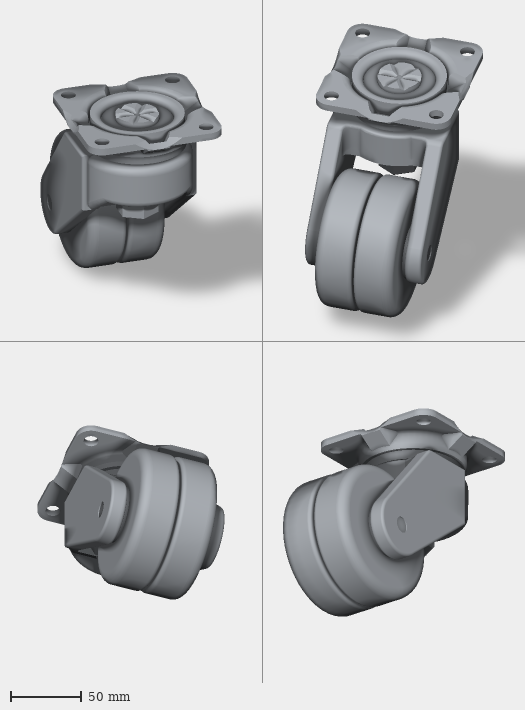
import cadquery as cq
import math

plate_side = 100.0
plate_corner_radius = 11.0
plate_thickness = 5.3
plate_hole_pitch = 77.9
plate_hole_diameter = 10.5

wheel_radius = plate_side / 2
wheel_offset = 70.0
overall_height = 150.0
axle_x = -wheel_offset
axle_z = wheel_radius - overall_height

dish_mouth_radius = 41.3
dish_wall_inner_radius = 34.8
dish_wall_outer_radius = 38.8
dish_floor_z = -11.9
dish_taper_z = -14.3
dish_bottom_z = -18.0
dish_bottom_radius = 37.9
ring_radius = 33.8
ring_lip_inner_radius = 31.0
ring_top_z = -1.4
ring_lip_round = 5.1
race_radius = 35.2
race_bottom_z = -25.0
spacer_radius = 26.2
fork_top_z = -26.9

head_radius = 15.6
head_top_z = -1.5
kingpin_radius = 10.2
washer_radius = 16.8
washer_top_z = -65.0
nut_top_z = -68.8
nut_bottom_z = -79.7
nut_corner_radius = 15.5
nut_chamfer = 1.0
star_groove_width = 6.8
star_groove_depth = 2.0
star_groove_count = 3
star_center_radius = 2.2

channel_slope = 33.6
channel_sheet = 5.0
channel_floor_half_width = 6.5
channel_flank_angle = 38.0
rib_half_width = 8.0
channel_rim_z = -6.8
rim_cut_radius = 32.3

fork_half_width = 43.0
fork_half_gap = 31.0
arm_end_radius = 23.0
arm_back_x = 5.8
arm_upper_angle = 48.8
arm_lower_angle = 37.7
arm_corner_radius = 6.0
arm_edge_fillet = 2.0
housing_radius = 39.5
housing_top_fillet = 6.1
housing_bottom_fillet = 5.0
housing_bottom_z = -58.3
web_front_x = -34.5
web_bottom_z = -52.7
web_corner_radius = 3.9
skirt_front_x = 11.0
boss_top_radius = 26.7
boss_bottom_radius = 20.5

wheel_inner_y = 0.8
wheel_outer_y = 28.9
wheel_outer_fillet = 7.0
wheel_inner_fillet = 3.0
wheel_hub_radius = 13.8
wheel_boss_radius = 20.7
axle_radius = 11.9
axle_recess_radius = 6.0
axle_recess_depth = 0.8


def disc(radius, z_from, z_to):
    """Cylinder about the swivel axis."""
    return cq.Workplane("XY").workplane(offset=z_from).circle(radius).extrude(z_to - z_from)


def make_plate():
    plate = (
        cq.Workplane("XY").rect(plate_side, plate_side).extrude(-plate_thickness)
        .edges("|Z").fillet(plate_corner_radius)
    )
    plate = plate.cut(
        cq.Workplane("XY").rect(plate_hole_pitch, plate_hole_pitch, forConstruction=True)
        .vertices().circle(plate_hole_diameter / 2).extrude(-plate_thickness)
    )
    return plate.cut(disc(dish_mouth_radius, -plate_thickness, 0))


def make_bearing():
    """Turned dish, ring and kingpin down to the nut."""
    bend = dish_mouth_radius - dish_wall_inner_radius
    outer_bend = dish_mouth_radius - dish_wall_outer_radius
    diagonal = math.sqrt(0.5)
    ring_floor_radius = ring_lip_inner_radius - ring_lip_round
    ring_floor_z = ring_top_z - ring_lip_round
    outer_bend_middle = (
        dish_mouth_radius - outer_bend * diagonal,
        -plate_thickness - outer_bend + outer_bend * diagonal,
    )
    profile = (
        cq.Workplane("XZ")
        .moveTo(0, head_top_z)
        .lineTo(head_radius, head_top_z)
        .lineTo(head_radius, ring_floor_z)
        .lineTo(ring_floor_radius, ring_floor_z)
        .threePointArc(
            (
                ring_lip_inner_radius - ring_lip_round * diagonal,
                ring_floor_z + ring_lip_round * diagonal,
            ),
            (ring_lip_inner_radius, ring_top_z),
        )
        .lineTo(ring_radius, ring_top_z)
        .lineTo(ring_radius, dish_floor_z)
        .lineTo(dish_wall_inner_radius, dish_floor_z)
        .lineTo(dish_wall_inner_radius, -bend)
        .threePointArc(
            (dish_mouth_radius - bend * diagonal, -bend + bend * diagonal), (dish_mouth_radius, 0)
        )
        .lineTo(dish_mouth_radius, -plate_thickness)
        .threePointArc(outer_bend_middle, (dish_wall_outer_radius, -plate_thickness - outer_bend))
        .lineTo(dish_wall_outer_radius, dish_taper_z)
        .lineTo(dish_bottom_radius, dish_bottom_z)
        .lineTo(race_radius, dish_bottom_z)
        .lineTo(race_radius, race_bottom_z)
        .lineTo(spacer_radius, race_bottom_z)
        .lineTo(spacer_radius, fork_top_z)
        .lineTo(kingpin_radius, fork_top_z)
        .lineTo(kingpin_radius, washer_top_z)
        .lineTo(washer_radius, washer_top_z)
        .lineTo(washer_radius, nut_top_z)
        .lineTo(0, nut_top_z)
        .close()
    )
    return profile.revolve(360, (0, 0, 0), (0, 1, 0))


def make_nut():
    return (
        cq.Workplane("XY").workplane(offset=nut_bottom_z)
        .polygon(6, 2 * nut_corner_radius).extrude(nut_top_z - nut_bottom_z)
        .faces("<Z").chamfer(nut_chamfer)
    )


def make_star_groove():
    """V groove across the kingpin head, along Y."""
    return (
        cq.Workplane("XZ", origin=(0, head_radius, head_top_z))
        .moveTo(-star_groove_width / 2, 0)
        .lineTo(star_groove_width / 2, 0)
        .lineTo(0, -star_groove_depth)
        .close()
        .extrude(2 * head_radius)
    )


def channel_prism(half_width, base, height, inner_radius):
    """Flaring trapezoid along the slope of the +X channel; base is its height in the sheet."""
    slope = math.radians(channel_slope)
    flare = height * math.tan(math.radians(channel_flank_angle))
    run_out = channel_sheet
    section_plane = cq.Plane(
        origin=(
            plate_side / 2 + run_out * math.cos(slope), 0, channel_rim_z + run_out * math.sin(slope)
        ),
        xDir=(0, -1, 0),
        normal=(-math.cos(slope), 0, -math.sin(slope)),
    )
    length = run_out + (plate_side / 2 - ring_radius) / math.cos(slope)
    return (
        cq.Workplane(section_plane)
        .moveTo(-half_width, base)
        .lineTo(half_width, base)
        .lineTo(half_width + flare, base + height)
        .lineTo(-half_width - flare, base + height)
        .close()
        .extrude(length)
        .cut(disc(inner_radius, dish_bottom_z, plate_side))
    )


def make_channel_rib():
    """Raised underside of the +X channel, kept below the mounting face."""
    wall_middle = (dish_wall_inner_radius + dish_wall_outer_radius) / 2
    rib_height = 2 * channel_sheet
    limit = cq.Workplane("XY").workplane(offset=-plate_thickness / 2)
    limit = limit.rect(plate_side, plate_side).extrude(dish_bottom_z)
    return channel_prism(rib_half_width, 0, rib_height, wall_middle).intersect(limit)


def make_rim_cut():
    """Cone that leaves the plate edge square to the sloping +X channel."""
    rise = -channel_rim_z
    top_radius = rim_cut_radius + rise * math.tan(math.radians(channel_slope))
    return (
        cq.Workplane("XZ", origin=(plate_side / 2 + rim_cut_radius, 0, 0))
        .moveTo(0, channel_rim_z)
        .lineTo(rim_cut_radius, channel_rim_z)
        .lineTo(top_radius, 0)
        .lineTo(0, 0)
        .close()
        .revolve(360, (0, 0, 0), (0, 1, 0))
    )


def make_swivel_head():
    rib = make_channel_rib()
    ring_clearance = (ring_radius + dish_wall_inner_radius) / 2
    channel_depth = 2 * channel_sheet
    channel = channel_prism(channel_floor_half_width, channel_sheet, channel_depth, ring_clearance)
    rim_cut = make_rim_cut()
    side_angles = (0, 90, 180, 270)

    head = make_plate().union(make_bearing()).union(make_nut())
    for angle in side_angles:
        head = head.union(rib.rotate((0, 0, 0), (0, 0, 1), angle))
    for angle in side_angles:
        head = head.cut(channel.rotate((0, 0, 0), (0, 0, 1), angle))
        head = head.cut(rim_cut.rotate((0, 0, 0), (0, 0, 1), angle))
    for index in range(star_groove_count):
        turn = index * 180 / star_groove_count
        head = head.cut(make_star_groove().rotate((0, 0, 0), (0, 0, 1), turn))
    return head.cut(disc(star_center_radius, head_top_z - star_groove_depth, head_top_z))


upper = math.radians(arm_upper_angle)
lower = math.radians(arm_lower_angle)
upper_tangent = (axle_x - arm_end_radius * math.sin(upper), axle_z + arm_end_radius * math.cos(upper))
lower_tangent = (axle_x + arm_end_radius * math.sin(lower), axle_z - arm_end_radius * math.cos(lower))


def lower_edge_z(x):
    """Level of the sloping lower edge of the fork."""
    return lower_tangent[1] + (x - lower_tangent[0]) * math.tan(lower)


def make_arm_outline(half_width):
    """Side outline of the arms as a slab from -Y to +Y."""
    corner_x = upper_tangent[0] + (fork_top_z - upper_tangent[1]) / math.tan(upper)
    outline = (
        cq.Workplane("XZ", origin=(0, half_width, 0))
        .moveTo(*lower_tangent)
        .lineTo(arm_back_x, lower_edge_z(arm_back_x))
        .lineTo(arm_back_x, fork_top_z)
        .lineTo(corner_x, fork_top_z)
        .lineTo(*upper_tangent)
        .threePointArc((axle_x - arm_end_radius, axle_z), lower_tangent)
        .close()
        .extrude(2 * half_width)
    )
    top_corner = cq.selectors.NearestToPointSelector((corner_x, 0, fork_top_z))
    return outline.edges(top_corner).fillet(arm_corner_radius)


def make_wheel_gap():
    """Space between the arms, in front of and below the flat web."""
    depth = overall_height
    gap = (
        cq.Workplane("XZ", origin=(0, fork_half_gap, 0))
        .moveTo(-depth, 0)
        .lineTo(web_front_x, 0)
        .lineTo(web_front_x, web_bottom_z)
        .lineTo(depth, web_bottom_z)
        .lineTo(depth, -depth)
        .lineTo(-depth, -depth)
        .close()
        .extrude(2 * fork_half_gap)
    )
    corners = cq.selectors.BoxSelector(
        (web_front_x - 1.7, -fork_half_width, web_bottom_z + 1.7), (web_front_x + 1.7, fork_half_width, 0)
    )
    return gap.edges(corners).fillet(web_corner_radius)


def make_arms():
    arms = make_arm_outline(fork_half_width)
    arms = arms.faces("<Y or >Y").edges().fillet(arm_edge_fillet)
    arms = arms.cut(make_wheel_gap())
    front_edge = cq.selectors.NearestToPointSelector(
        (
            (upper_tangent[0] + web_front_x) / 2,
            fork_half_gap,
            (upper_tangent[1] + fork_top_z) / 2,
        )
    )
    return arms.edges(front_edge).fillet(arm_edge_fillet)


def make_drum_front():
    """Round bulge of the web towards the wheels."""
    drum = disc(housing_radius, web_bottom_z, fork_top_z)
    drum = drum.faces(">Z").edges().fillet(arm_edge_fillet)
    rear_half = (
        cq.Workplane("XY", origin=(arm_back_x + housing_radius / 2, 0, fork_top_z))
        .rect(housing_radius, 2 * housing_radius).extrude(web_bottom_z - fork_top_z)
    )
    return drum.cut(rear_half)


def make_drum_rear():
    """Round rear of the housing, with a skirt that follows the lower edge of the arms."""
    skirt_z = lower_edge_z(arm_back_x)
    slope_end_x = arm_back_x + (housing_bottom_z - skirt_z) / math.tan(lower)
    side_outline = (
        cq.Workplane("XZ", origin=(0, housing_radius, 0))
        .moveTo(arm_back_x, fork_top_z)
        .lineTo(arm_back_x, skirt_z)
        .lineTo(slope_end_x, housing_bottom_z)
        .lineTo(housing_radius, housing_bottom_z)
        .lineTo(housing_radius, fork_top_z)
        .close()
        .extrude(2 * housing_radius)
    )
    drum = disc(housing_radius, skirt_z, fork_top_z).intersect(side_outline)
    drum = drum.faces(">Z").edges("%CIRCLE").fillet(housing_top_fillet)
    middle_z = (fork_top_z + housing_bottom_z) / 2
    underside = cq.selectors.BoxSelector(
        (arm_back_x, -fork_half_width, skirt_z), (fork_half_width, fork_half_width, middle_z)
    )
    drum = drum.edges(underside).edges("%CIRCLE or %ELLIPSE").fillet(housing_bottom_fillet)
    pocket_length = skirt_front_x - arm_back_x
    pocket = (
        cq.Workplane("XY", origin=(arm_back_x + pocket_length / 2, 0, web_bottom_z))
        .rect(pocket_length, 2 * fork_half_gap).extrude(skirt_z - web_bottom_z)
    )
    return drum.cut(pocket)


def make_boss():
    """Tapered boss around the kingpin that the washer bears on."""
    return (
        cq.Workplane("XY").workplane(offset=web_bottom_z).circle(boss_top_radius)
        .workplane(offset=washer_top_z - web_bottom_z).circle(boss_bottom_radius).loft()
    )


def make_fork():
    fork = make_arms().union(make_drum_front()).union(make_drum_rear()).union(make_boss())
    fork = fork.cut(disc(kingpin_radius, washer_top_z, fork_top_z))
    return fork.cut(make_axle_core())


def make_wheel(side):
    """Wheel on the +Y or -Y side, with hubs reaching the other wheel and the fork arm."""
    def slab(radius, y_from, y_to):
        plane = cq.Workplane("XZ", origin=(axle_x, y_from, axle_z))
        return plane.circle(radius).extrude(y_from - y_to)

    wheel = slab(wheel_radius, wheel_inner_y, wheel_outer_y)
    wheel = wheel.faces(">Y").edges().fillet(wheel_outer_fillet)
    wheel = wheel.faces("<Y").edges().fillet(wheel_inner_fillet)
    wheel = wheel.union(slab(wheel_hub_radius, 0, wheel_outer_y))
    wheel = wheel.union(slab(wheel_boss_radius, wheel_inner_y, fork_half_gap))
    wheel = wheel.cut(slab(axle_radius, 0, fork_half_gap))
    return wheel if side > 0 else wheel.mirror("XZ")


def make_axle_core():
    return (
        cq.Workplane("XZ", origin=(axle_x, fork_half_width, axle_z))
        .circle(axle_radius).extrude(2 * fork_half_width)
    )


def make_axle():
    axle = make_axle_core()
    for face in ("<Y", ">Y"):
        axle = axle.faces(face).workplane().hole(2 * axle_recess_radius, axle_recess_depth)
    return axle


swivel_head = make_swivel_head()
fork = make_fork()
wheels = [make_wheel(side) for side in (1, -1)]
axle = make_axle()

result = cq.Compound.makeCompound(
    [body.solids().val() for body in (swivel_head, fork, *wheels, axle)]
)